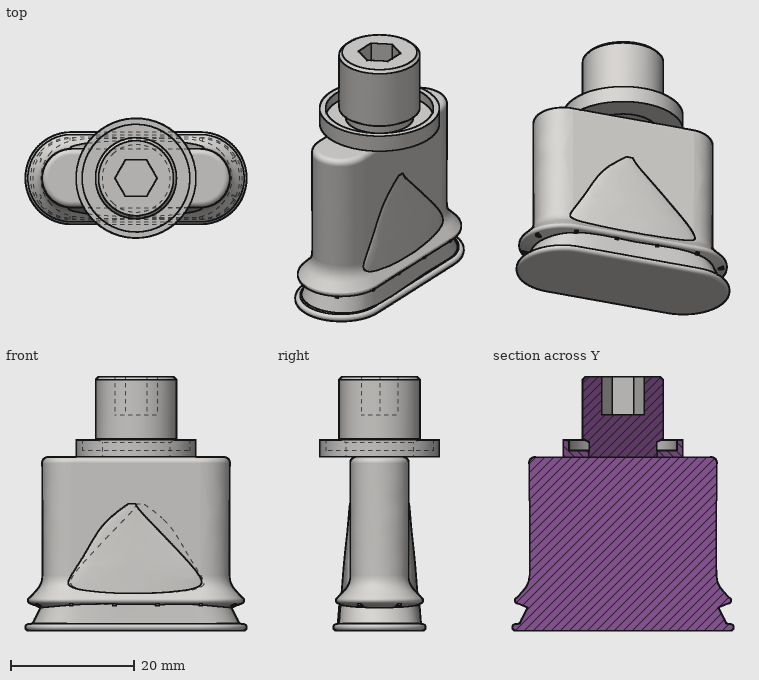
import cadquery as cq
import math

cup_length = 36.0
lip_reach = 7.5
end_center = cup_length / 2 - lip_reach
cup_top = 28.23
body_top_radius = 4.8
body_bottom_radius = 4.75
top_fillet = 1.0

flare_radius = 3.3
flare_angle = 45
flare_bottom = 6.55
rim_radius = 7.0
rim_top = 5.2
rim_bulge = 0.05
rim_middle = 4.75
rim_bottom = 4.4
rim_bottom_radius = 6.7
underside_radius = 4.95
underside_bottom = 3.7

neck_bottom = 1.0
neck_bottom_half_length = 16.92
neck_bottom_half_width = 6.6
neck_top = 4.55
neck_top_half_length = 15.1
neck_top_half_width = 6.35
neck_end_steps = 6
lip_height = 1.1
lip_flat_radius = 6.7
lip_slope_radius = 4.95
lip_slope_top = 1.7

rib_width = 0.5
rib_reach = 6.55
rib_bottom = 4.05
rib_top = 4.95
ribs_per_side = 4
rib_spacing = 2 * end_center / (ribs_per_side - 1)
rib_end_angle = 30

bulge_sections = [
    (5.78, -11.23, 10.55, 1.5),
    (8.25, -10.9, 10.6, 1.3),
    (11.55, -8.87, 8.17, 1.0),
    (16.3, -6.03, 3.7, 0.5),
    (19.0, -3.45, 1.1, 0.25),
    (20.65, -1.25, -0.1, 0.1),
]

washer_diameter = 19.5
washer_height = 2.75
recess_diameter = 17.5
recess_depth = 1.7

total_height = 41.25
head_diameter = 13.15
head_bottom = 31.2
head_top_chamfer = 0.5
head_lower_chamfer_height = 0.6
stem_diameter = 11.0
socket_sides = 6
socket_across_flats = 5.95
socket_depth = 6.2


def racetrack_solid(profile):
    """Sweep a radius-height profile around the oblong: two turned ends and a straight middle."""
    outline = profile.val()
    turned_end = cq.Workplane("XZ").add(outline).toPending().revolve(360, (0, 0, 0), (0, 1, 0))
    half_bar = cq.Workplane("XZ").add(outline).toPending().extrude(end_center, both=True)
    half_section = half_bar.rotate((0, 0, 0), (0, 0, 1), 90)
    middle = half_section.union(half_section.mirror("XZ"))
    left_end = turned_end.translate((-end_center, 0, 0))
    right_end = turned_end.translate((end_center, 0, 0))
    return middle.union(left_end).union(right_end)


def make_body_and_flange():
    flare_turn = math.radians(flare_angle)
    flare_top = flare_bottom + flare_radius * math.sin(flare_turn)
    flare_bottom_radius = body_bottom_radius + flare_radius * (1 - math.cos(flare_turn))
    half_turn = flare_turn / 2
    flare_middle = (
        body_bottom_radius + flare_radius * (1 - math.cos(half_turn)),
        flare_top - flare_radius * math.sin(half_turn),
    )
    fillet_inset = top_fillet * (1 - math.sqrt(0.5))
    fillet_middle = (body_top_radius - fillet_inset, cup_top - fillet_inset)
    profile = (
        cq.Workplane("XZ")
        .moveTo(0, underside_bottom)
        .lineTo(underside_radius, underside_bottom)
        .lineTo(rim_bottom_radius, rim_bottom)
        .threePointArc((rim_radius + rim_bulge, rim_middle), (rim_radius, rim_top))
        .lineTo(flare_bottom_radius, flare_bottom)
        .threePointArc(flare_middle, (body_bottom_radius, flare_top))
        .lineTo(body_top_radius, cup_top - top_fillet)
        .threePointArc(fillet_middle, (body_top_radius - top_fillet, cup_top))
        .lineTo(0, cup_top)
        .close()
    )
    return racetrack_solid(profile)


def make_lip():
    edge_radius = lip_height / 2
    edge_center = lip_reach - edge_radius
    profile = (
        cq.Workplane("XZ")
        .lineTo(edge_center, 0)
        .threePointArc((lip_reach, edge_radius), (edge_center, lip_height))
        .lineTo(lip_flat_radius, lip_height)
        .lineTo(lip_slope_radius, lip_slope_top)
        .lineTo(0, lip_slope_top)
        .close()
    )
    return racetrack_solid(profile)


def neck_outline(half_length, half_width):
    """Points of a closed smooth curve close to a slot, counter-clockwise."""
    straight = half_length - half_width
    points = []
    for side in (1, -1):
        for step in range(neck_end_steps + 1):
            angle = math.pi * (step / neck_end_steps - 0.5)
            points.append((
                side * (straight + half_width * math.cos(angle)),
                side * half_width * math.sin(angle),
            ))
        points.append((0, side * half_width))
    return points


def make_neck():
    return (
        cq.Workplane("XY", origin=(0, 0, neck_bottom))
        .spline(neck_outline(neck_bottom_half_length, neck_bottom_half_width), periodic=True)
        .close()
        .workplane(offset=neck_top - neck_bottom)
        .spline(neck_outline(neck_top_half_length, neck_top_half_width), periodic=True)
        .close()
        .loft(ruled=True)
    )


def make_rib(x, angle):
    """Rib that runs outward from the centre line at X, in the direction of the angle."""
    height = rib_top - rib_bottom
    rib = cq.Workplane("XY").box(rib_reach, rib_width, height, centered=(False, True, False))
    return rib.rotate((0, 0, 0), (0, 0, 1), angle).translate((x, 0, rib_bottom))


def make_ribs():
    ribs = cq.Workplane("XY")
    for step in range(ribs_per_side):
        x = -end_center + step * rib_spacing
        ribs = ribs.add(make_rib(x, 90)).add(make_rib(x, -90))
    for angle in (-rib_end_angle, rib_end_angle):
        ribs = ribs.add(make_rib(end_center, angle)).add(make_rib(-end_center, 180 + angle))
    return ribs.combine()


def make_bulge():
    """Loft of ellipses centred on the front face, so that half of each stands proud of it."""
    up = cq.Vector(0, 0, 1)
    along = cq.Vector(1, 0, 0)
    wires = []
    for height, left, right, rise in bulge_sections:
        center = cq.Vector((left + right) / 2, -body_bottom_radius, height)
        wires.append(cq.Wire.makeEllipse((right - left) / 2, rise, center, up, along))
    return cq.Workplane(cq.Solid.makeLoft(wires))


def make_cup():
    front_bulge = make_bulge()
    back_bulge = front_bulge.rotate((0, 0, 0), (0, 0, 1), 180)
    cup = make_body_and_flange().union(make_neck()).union(make_lip()).union(make_ribs())
    return cup.union(front_bulge).union(back_bulge)


def make_washer():
    disc = cq.Workplane("XY", origin=(0, 0, cup_top)).circle(washer_diameter / 2).extrude(washer_height)
    recessed = disc.faces(">Z").workplane().hole(recess_diameter, recess_depth)
    return recessed.faces("<Z").workplane().hole(stem_diameter)


def make_fitting():
    head_radius = head_diameter / 2
    stem_radius = stem_diameter / 2
    turned = (
        cq.Workplane("XZ")
        .moveTo(0, cup_top)
        .lineTo(stem_radius, cup_top)
        .lineTo(stem_radius, head_bottom - head_lower_chamfer_height)
        .lineTo(head_radius, head_bottom)
        .lineTo(head_radius, total_height - head_top_chamfer)
        .lineTo(head_radius - head_top_chamfer, total_height)
        .lineTo(0, total_height)
        .close()
        .revolve(360, (0, 0, 0), (0, 1, 0))
    )
    socket_across_corners = socket_across_flats / math.cos(math.pi / socket_sides)
    socket = (
        cq.Workplane("XY", origin=(0, 0, total_height - socket_depth))
        .polygon(socket_sides, socket_across_corners)
        .extrude(socket_depth)
    )
    return turned.cut(socket)


cup = make_cup()
washer = make_washer()
fitting = make_fitting()
result = cq.Compound.makeCompound([cup.solids().val(), washer.solids().val(), fitting.solids().val()])